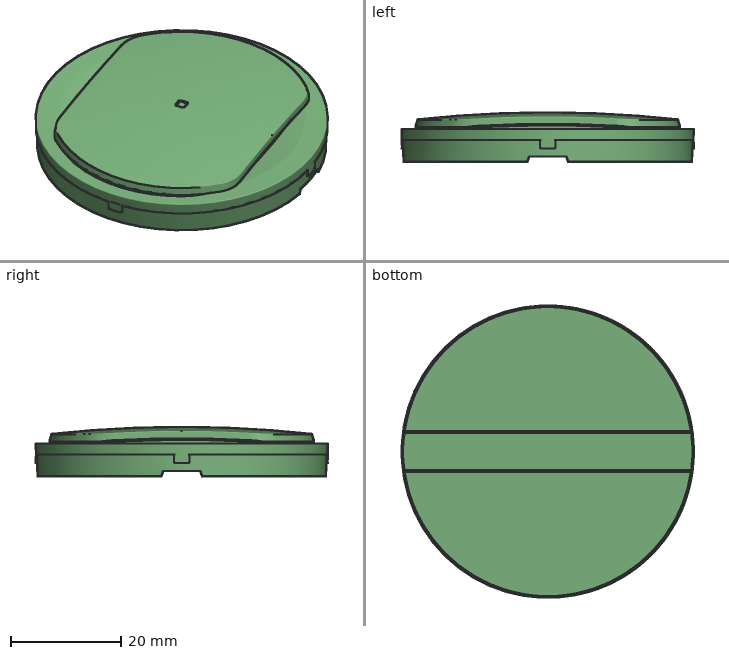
import cadquery as cq
import math

seam_z = 4.0
lid_top_z = 6.0
button_apex_z = 9.01

base_radius = 26.25
channel_height = 0.95
channel_bottom_width = 7.4
channel_top_width = 6.7

lid_radius = 26.505
lid_edge_fillet = 0.2
dish_radius = 22.45
dish_depth = 0.8
ring_fall = 0.2
tab_width = 2.75
tab_bottom_z = 2.4
tab_chamfer = 0.2
tab_angles = (0, 90, 180, 270)

crown_radius = 218.0
rim_bottom_z = 6.35
rim_end_radius = 24.05
rim_end_draft = 17.0
rim_flat_half_width = 18.67
rim_flat_draft = 4.0
rim_corner_radius = 6.0
rim_edge_fillet = 0.15
relief_apex_z = 6.95
relief_half_length = 17.0
relief_slope = 17.0
relief_reach = 2.5

neck_half_width = 17.65
neck_end_radius = 23.8
neck_corner_radius = 12.8
neck_bottom_z = 4.5
neck_cover = 1.0

indicator_size = 1.8
indicator_depth = 0.15
indicator_corner_radius = 0.3
indicator_taper = 45.0


def make_base():
    """Plain disc with a tapered channel across its underside, along X."""
    disc = cq.Workplane("XY").circle(base_radius).extrude(seam_z)
    channel = (
        cq.Workplane("YZ")
        .moveTo(-channel_bottom_width / 2, 0)
        .lineTo(channel_bottom_width / 2, 0)
        .lineTo(channel_top_width / 2, channel_height)
        .lineTo(-channel_top_width / 2, channel_height)
        .close()
        .extrude(lid_radius, both=True)
    )
    return disc.cut(channel)


def make_neck():
    """Flat-sided round prism under the button rim; also the shape of the lid pocket."""
    neck_height = button_apex_z - neck_bottom_z
    neck = cq.Workplane("XY", origin=(0, 0, neck_bottom_z)).circle(neck_end_radius).extrude(neck_height)
    flats = (
        cq.Workplane("XY", origin=(0, 0, neck_bottom_z))
        .rect(2 * neck_half_width, 2 * neck_end_radius)
        .extrude(neck_height)
    )
    return neck.intersect(flats).edges("|Z").fillet(neck_corner_radius)


def make_tab(angle):
    """Tab that hangs from the lid rim over the outside of the base."""
    tab_height = seam_z - tab_bottom_z
    sleeve = (
        cq.Workplane("XY", origin=(0, 0, tab_bottom_z))
        .circle(lid_radius)
        .circle(base_radius)
        .extrude(tab_height)
    )
    outline = (
        cq.Workplane("YZ")
        .center(0, tab_bottom_z + tab_height / 2)
        .rect(tab_width, tab_height)
        .extrude(2 * lid_radius)
        .edges("|X and <Z")
        .chamfer(tab_chamfer)
    )
    return sleeve.intersect(outline).rotate((0, 0, 0), (0, 0, 1), angle)


def make_lid(neck):
    """Disc with a top that falls gently inward to a conical dish, a pocket for the button and four tabs."""
    lid = (
        cq.Workplane("XY", origin=(0, 0, seam_z))
        .circle(lid_radius)
        .extrude(lid_top_z - seam_z)
        .faces(">Z")
        .edges()
        .fillet(lid_edge_fillet)
    )
    dish_rim_z = lid_top_z - ring_fall
    dish_floor_z = dish_rim_z - dish_depth
    dish = (
        cq.Workplane("XZ")
        .moveTo(0, lid_top_z)
        .lineTo(lid_radius - lid_edge_fillet, lid_top_z)
        .lineTo(dish_radius, dish_rim_z)
        .lineTo(neck_half_width, dish_floor_z)
        .lineTo(0, dish_floor_z)
        .close()
        .revolve(360, (0, 0, 0), (0, 1, 0))
    )
    lid = lid.cut(dish).cut(neck)
    for angle in tab_angles:
        lid = lid.union(make_tab(angle))
    return lid


def crown_ball(apex_z):
    """Large ball whose top point lies on the Z axis at apex_z."""
    return cq.Workplane("XY").sphere(crown_radius).translate((0, 0, apex_z - crown_radius))


def make_relief(side):
    """Arched cutter under one flat of the rim; its roof slopes down toward the neck.

    side is 1 for the +X flat and -1 for the -X flat.
    """
    edge_x = side * rim_flat_half_width
    arch_drop = crown_radius - math.sqrt(crown_radius**2 - relief_half_length**2)
    spring_z = relief_apex_z - arch_drop
    foot_z = neck_bottom_z
    arch = (
        cq.Workplane("YZ", origin=(edge_x, 0, 0))
        .moveTo(-relief_half_length, foot_z)
        .lineTo(-relief_half_length, spring_z)
        .threePointArc((0, relief_apex_z), (relief_half_length, spring_z))
        .lineTo(relief_half_length, foot_z)
        .close()
        .extrude(relief_reach, both=True)
    )
    pivot = (edge_x, 0, relief_apex_z)
    return arch.rotate(pivot, (edge_x, 1, relief_apex_z), -side * relief_slope)


def make_rim():
    """Drafted, flat-sided cap with a crowned top and an arched underside at each flat."""
    rim_height = button_apex_z - rim_bottom_z
    top_radius = rim_end_radius - rim_height * math.tan(math.radians(rim_end_draft))
    cone = (
        cq.Workplane("XZ")
        .moveTo(0, rim_bottom_z)
        .lineTo(rim_end_radius, rim_bottom_z)
        .lineTo(top_radius, button_apex_z)
        .lineTo(0, button_apex_z)
        .close()
        .revolve(360, (0, 0, 0), (0, 1, 0))
    )
    top_half_width = rim_flat_half_width - rim_height * math.tan(math.radians(rim_flat_draft))
    flats = (
        cq.Workplane("XZ")
        .moveTo(-rim_flat_half_width, rim_bottom_z)
        .lineTo(rim_flat_half_width, rim_bottom_z)
        .lineTo(top_half_width, button_apex_z)
        .lineTo(-top_half_width, button_apex_z)
        .close()
        .extrude(rim_end_radius, both=True)
    )
    rim = cone.intersect(flats)
    rim = rim.edges("not(>Z or <Z)").fillet(rim_corner_radius)
    rim = rim.intersect(crown_ball(button_apex_z))
    rim = rim.faces(">Z").edges().fillet(rim_edge_fillet)
    for side in (1, -1):
        rim = rim.cut(make_relief(side))
    return rim


def make_button(neck):
    """Rim joined to the neck, with the indicator recess in the middle of the crown."""
    rim = make_rim()
    stem = neck.intersect(crown_ball(button_apex_z - neck_cover))
    indicator = (
        cq.Workplane("XY", origin=(0, 0, button_apex_z))
        .sketch()
        .rect(indicator_size, indicator_size)
        .vertices()
        .fillet(indicator_corner_radius)
        .finalize()
        .extrude(-indicator_depth, taper=indicator_taper)
    )
    return rim.union(stem).cut(indicator)


neck = make_neck()
base = make_base()
lid = make_lid(neck)
button = make_button(neck)

result = cq.Compound.makeCompound([base.val(), lid.val(), button.val()])